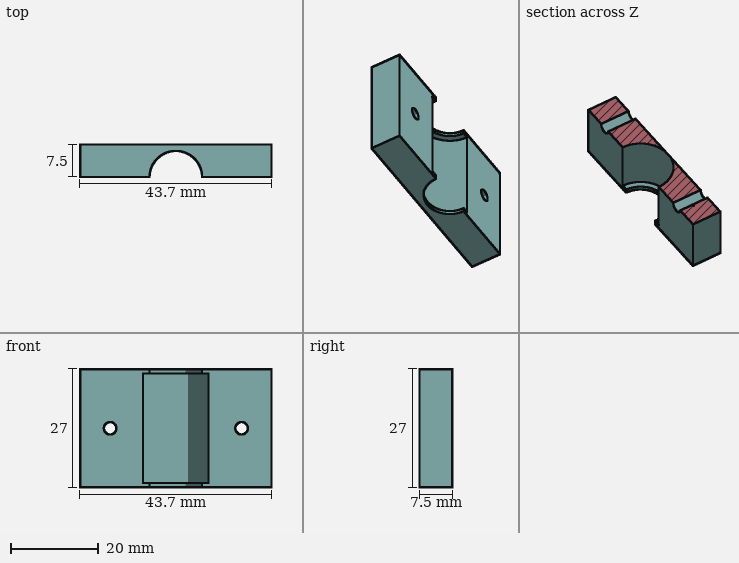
import cadquery as cq

length = 43.7
thickness = 7.5
height = 27.0
bore_radius = 7.45
lip_inner_radius = 6.0
lip_height = 1.0
hole_diameter = 2.8
hole_spacing = 30.0

block = cq.Workplane("XY").box(length, thickness, height, centered=(True, False, True))

lip_opening = cq.Workplane("XY").cylinder(height, lip_inner_radius)
bore = cq.Workplane("XY").cylinder(height - 2 * lip_height, bore_radius)

screw_holes = (
    cq.Workplane("XZ")
    .pushPoints([(-hole_spacing / 2, 0), (hole_spacing / 2, 0)])
    .circle(hole_diameter / 2)
    .extrude(-thickness)
)

result = block.cut(lip_opening).cut(bore).cut(screw_holes)